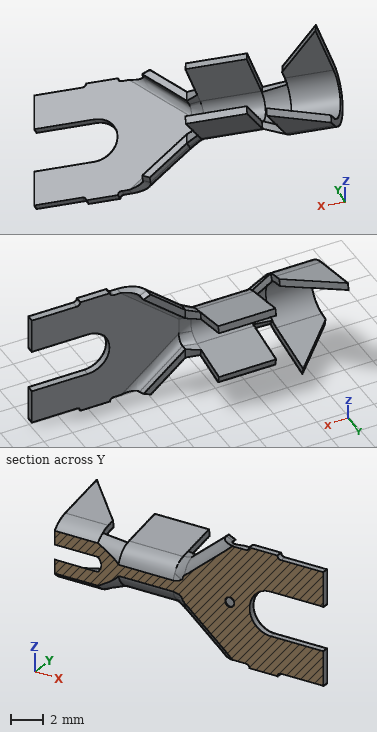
import cadquery as cq
import math

sheet = 0.5
total_length = 19.84

arm_lean = 12.0
insulation_radius = 2.26
insulation_floor = -0.52
insulation_end = 3.2
insulation_arm_long = 3.73
insulation_arm_short = 0.54
wire_radius = 1.59
wire_floor = 0.0
wire_start = 4.72
wire_end = 8.73
wire_arm = 3.04

neck_insulation_angle = 60.0
neck_wire_angle = 72.0

throat_split_angle = 31.0
throat_arm = 0.58

tongue_start = 9.56
floor_half_width = 0.55
flare_angle = 40.0
bend_radius = 1.0
wing_height = 1.4
wing_end_skew = 0.48
wing_end_slope = 0.3
bend_steps = 6
tongue_half_width = 3.97
overall_width = 8.43
tab_half_width = overall_width / 2
tab_start = 14.36
tab_end = 16.45
slot_half_width = 1.53
slot_bottom = 14.4
dimple_x = 12.92
dimple_radius = 0.32
dimple_depth = 0.1
cut_margin = 0.1

flare = math.radians(flare_angle)
lean = math.radians(arm_lean)
arm_tangent_angle = 90.0 - arm_lean


def round_point(radius, centre_y, angle):
    """Point (Y, Z) on a barrel circle, with the angle measured from the floor toward +Z."""
    a = math.radians(angle)
    return (centre_y - radius * math.cos(a), radius * math.sin(a))


def round_section(x, radius, floor, half_angle):
    """Closed ring sector at X = x, symmetric about the floor."""
    centre = floor + radius
    inner = radius - sheet
    return (
        cq.Workplane("YZ", origin=(x, 0, 0))
        .moveTo(*round_point(radius, centre, -half_angle))
        .threePointArc((floor, 0), round_point(radius, centre, half_angle))
        .lineTo(*round_point(inner, centre, half_angle))
        .threePointArc((floor + sheet, 0), round_point(inner, centre, -half_angle))
        .close()
    )


def arm(radius, floor, side, outline):
    """Flat arm on one side (+1 or -1) of a barrel; outline points are (X, distance up the arm)."""
    y, z = round_point(radius, floor + radius, side * arm_tangent_angle)
    normal = (0, -side * math.sin(lean), math.cos(lean))
    outer_face = cq.Plane(origin=(0, y, z), xDir=(1, 0, 0), normal=normal)
    return cq.Workplane(outer_face).polyline(outline).close().extrude(-side * sheet)


def insulation_barrel():
    floor = round_section(0, insulation_radius, insulation_floor, arm_tangent_angle)
    barrel = floor.extrude(insulation_end)
    for side, start_height, end_height in (
        (1, insulation_arm_long, insulation_arm_short),
        (-1, insulation_arm_short, insulation_arm_long),
    ):
        outline = [(0, 0), (insulation_end, 0), (insulation_end, end_height), (0, start_height)]
        barrel = barrel.union(arm(insulation_radius, insulation_floor, side, outline))
    return barrel


def wire_barrel():
    floor = round_section(wire_start, wire_radius, wire_floor, arm_tangent_angle)
    barrel = floor.extrude(wire_end - wire_start)
    outline = [(wire_start, 0), (wire_end, 0), (wire_end, wire_arm), (wire_start, wire_arm)]
    for side in (1, -1):
        barrel = barrel.union(arm(wire_radius, wire_floor, side, outline))
    return barrel


def loft(first, second):
    """Ruled solid between two closed sections."""
    return cq.Workplane(obj=cq.Solid.makeLoft([first.val(), second.val()], True))


def neck():
    return loft(
        round_section(insulation_end, insulation_radius, insulation_floor, neck_insulation_angle),
        round_section(wire_start, wire_radius, wire_floor, neck_wire_angle),
    )


def throat_barrel_section():
    """Wire barrel section at the throat, split where the tongue section has its corners."""
    centre = wire_floor + wire_radius
    inner = wire_radius - sheet
    middle_angle = (throat_split_angle + arm_tangent_angle) / 2

    def arm_tip(radius, side):
        y, z = round_point(radius, centre, side * arm_tangent_angle)
        return (y + throat_arm * math.cos(lean), z + side * throat_arm * math.sin(lean))

    def trace(section, radius, side):
        """Continue from one arm tip round the floor to the other arm; side is the starting side."""

        def at(angle):
            return round_point(radius, centre, angle)

        return (
            section.lineTo(*at(side * arm_tangent_angle))
            .threePointArc(at(side * middle_angle), at(side * throat_split_angle))
            .threePointArc(at(0), at(-side * throat_split_angle))
            .threePointArc(at(-side * middle_angle), at(-side * arm_tangent_angle))
            .lineTo(*arm_tip(radius, -side))
        )

    section = cq.Workplane("YZ", origin=(wire_end, 0, 0)).moveTo(*arm_tip(wire_radius, -1))
    section = trace(section, wire_radius, -1).lineTo(*arm_tip(inner, 1))
    return trace(section, inner, 1).close()


def bend_point(radius, side, angle):
    """Point (Y, Z) on a wing bend cut by a plane of constant X: the flare stretches it along Z."""
    a = math.radians(angle)
    z = floor_half_width + radius / math.cos(flare) * math.sin(a)
    return (bend_radius - radius * math.cos(a), side * z)


def add_bend(section, radius, side, start_angle, end_angle):
    """Continue the section round one wing bend, between its floor (0) and wall (90) ends."""
    step = (end_angle - start_angle) / bend_steps
    points = [bend_point(radius, side, start_angle + i * step) for i in range(1, bend_steps + 1)]
    along_y = (math.copysign(1, step), 0)
    along_z = (0, side * math.copysign(1, step))
    tangents = [along_z, along_y] if step > 0 else [along_y, along_z]
    return section.spline(points, tangents=tangents, includeCurrent=True)


def wing_tip(radius, side):
    return (wing_height, bend_point(radius, side, 90)[1])


def add_wing_up(section, radius, side):
    """Continue the section from the floor round the bend to the wing top."""
    return add_bend(section, radius, side, 0, 90).lineTo(*wing_tip(radius, side))


def add_wing_down(section, radius, side):
    """Continue the section from the wing top round the bend to the floor."""
    section = section.lineTo(*bend_point(radius, side, 90))
    return add_bend(section, radius, side, 90, 0)


def throat_tongue_section():
    inner = bend_radius - sheet
    section = cq.Workplane("YZ", origin=(tongue_start, 0, 0)).moveTo(*wing_tip(bend_radius, -1))
    section = add_wing_down(section, bend_radius, -1).lineTo(0, floor_half_width)
    section = add_wing_up(section, bend_radius, 1).lineTo(*wing_tip(inner, 1))
    section = add_wing_down(section, inner, 1).lineTo(sheet, -floor_half_width)
    return add_wing_up(section, inner, -1).close()


def throat():
    return loft(throat_barrel_section(), throat_tongue_section())


def wing(side):
    """Bent-up edge of the tongue, slid along its bend line and trimmed at the end."""
    inner = bend_radius - sheet
    section = cq.Workplane("YZ", origin=(tongue_start, 0, 0)).moveTo(0, side * floor_half_width)
    section = add_wing_up(section, bend_radius, side).lineTo(*wing_tip(inner, side))
    section = add_wing_down(section, inner, side).close()
    blank = cq.Solid.extrudeLinear(section.val(), [], flare_run(side))
    return cq.Workplane(obj=blank).cut(wing_end_cutter(side))


def flare_run(side):
    """Vector along a bend line, from the tongue start to the long edge of the tongue."""
    rise = tongue_half_width - floor_half_width
    return cq.Vector(rise / math.tan(flare), 0, side * rise)


def wing_end_point(radius, side, angle):
    """Point on the wing end at one bend angle.

    The outer corner stays on the long edge of the tongue. The end runs nearly square through
    the sheet, with the inner corner slightly ahead along the bend line.
    """
    a = math.radians(angle)
    depth = (bend_radius - radius) * math.sin(a)
    ahead = wing_end_skew * depth
    x = tongue_start + flare_run(side).x - bend_radius * math.sin(a) / math.sin(flare)
    x += depth * math.sin(flare) + ahead * math.cos(flare)
    z = tongue_half_width - depth * math.cos(flare) + ahead * math.sin(flare)
    return cq.Vector(x, bend_radius - radius * math.cos(a), side * z)


def wing_end_cutter(side):
    """Everything on a wing past its end, made by sliding the end surface along the bend line."""
    back = flare_run(side).normalized() * (wing_end_slope * wing_height)
    bends = []
    walls = []
    for radius in (bend_radius + cut_margin, bend_radius - sheet - cut_margin):
        angles = [90 * i / bend_steps for i in range(bend_steps + 1)]
        points = [wing_end_point(radius, side, angle) for angle in angles]
        bends.append(cq.Edge.makeSpline(points))
        top = points[-1] + cq.Vector(0, wing_height, 0) - back
        walls.append(cq.Edge.makeLine(points[-1], top))
    cutter = cq.Workplane()
    for edges in (bends, walls):
        end_face = cq.Face.makeRuledSurface(*edges)
        cutter = cutter.add(cq.Solid.extrudeLinear(end_face, flare_run(side)))
    return cutter.combine()


def tab():
    """Raised strip across the tongue, its ends blended into the long edges by hollow rounds."""
    height = tab_half_width - tongue_half_width
    ends = (tab_start - height, tab_end + height)
    corners = [(x, z) for x in ends for z in (-tab_half_width, tab_half_width)]
    strip = (
        cq.Workplane("XZ")
        .center((tab_start + tab_end) / 2, 0)
        .rect(tab_end - tab_start + 2 * height, 2 * tab_half_width)
        .extrude(-sheet)
    )
    hollows = cq.Workplane("XZ").pushPoints(corners).circle(height).extrude(-sheet)
    return strip.cut(hollows)


def tongue():
    """Flat fork with its wings; the XZ workplane faces -Y, so negative extrusions go toward +Y."""
    shoulder = tongue_start + flare_run(1).x
    half = [
        (tongue_start, floor_half_width),
        (shoulder, tongue_half_width),
        (total_length, tongue_half_width),
    ]
    outline = half + [(x, -z) for x, z in reversed(half)]
    body = cq.Workplane("XZ").polyline(outline).close().extrude(-sheet).union(tab())
    for side in (1, -1):
        body = body.union(wing(side))
    return body.cut(slot()).cut(dimple())


def slot():
    slot_centre = slot_bottom + slot_half_width
    return (
        cq.Workplane("XZ")
        .moveTo(total_length, -slot_half_width)
        .lineTo(slot_centre, -slot_half_width)
        .threePointArc((slot_bottom, 0), (slot_centre, slot_half_width))
        .lineTo(total_length, slot_half_width)
        .close()
        .extrude(-sheet)
    )


def dimple():
    return cq.Workplane("XZ").center(dimple_x, 0).circle(dimple_radius).extrude(-dimple_depth)


result = insulation_barrel().union(neck()).union(wire_barrel()).union(throat()).union(tongue())